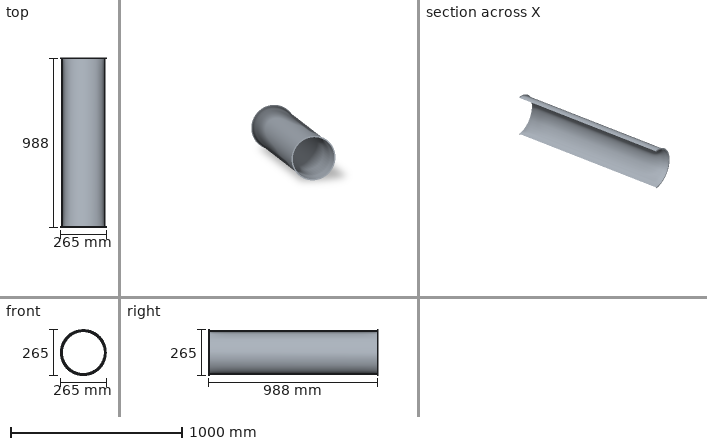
import cadquery as cq

LENGTH = 988.0
BORE_DIAMETER = 249.0
WALL_THICKNESS = 2.0
FLANGE_DIAMETER = 265.0
FLANGE_THICKNESS = 2.0

TUBE_DIAMETER = BORE_DIAMETER + 2 * WALL_THICKNESS
HALF_LENGTH = LENGTH / 2


def ring(outer_diameter, start_y, length):
    """Ring with the tube's bore, running along +Y from start_y."""
    base = cq.Workplane("XZ", origin=(0, start_y, 0))
    return base.circle(outer_diameter / 2).circle(BORE_DIAMETER / 2).extrude(-length)


result = ring(TUBE_DIAMETER, -HALF_LENGTH, LENGTH)

for flange_start in (-HALF_LENGTH, HALF_LENGTH - FLANGE_THICKNESS):
    result = result.union(ring(FLANGE_DIAMETER, flange_start, FLANGE_THICKNESS))